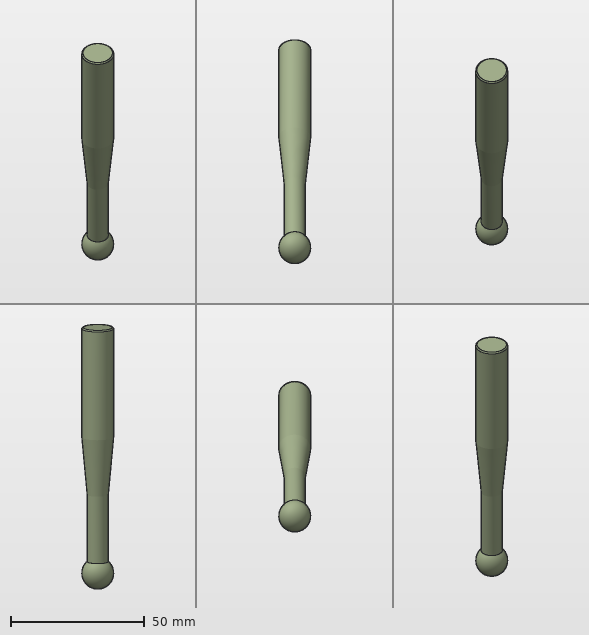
import cadquery as cq

total_length = 100.0
shank_diameter = 12.0
ball_diameter = 12.0
neck_diameter = 8.0
neck_top = 36.0
taper_top = 58.0
top_chamfer = 0.5

shank_radius = shank_diameter / 2
neck_radius = neck_diameter / 2
ball_radius = ball_diameter / 2

stem_profile = (
    cq.Workplane("XZ")
    .moveTo(0, ball_radius)
    .lineTo(neck_radius, ball_radius)
    .lineTo(neck_radius, neck_top)
    .lineTo(shank_radius, taper_top)
    .lineTo(shank_radius, total_length - top_chamfer)
    .lineTo(shank_radius - top_chamfer, total_length)
    .lineTo(0, total_length)
    .close()
)
stem = stem_profile.revolve(360, (0, 0, 0), (0, 1, 0))

ball = cq.Workplane("XY").sphere(ball_radius).translate((0, 0, ball_radius))

result = stem.union(ball)